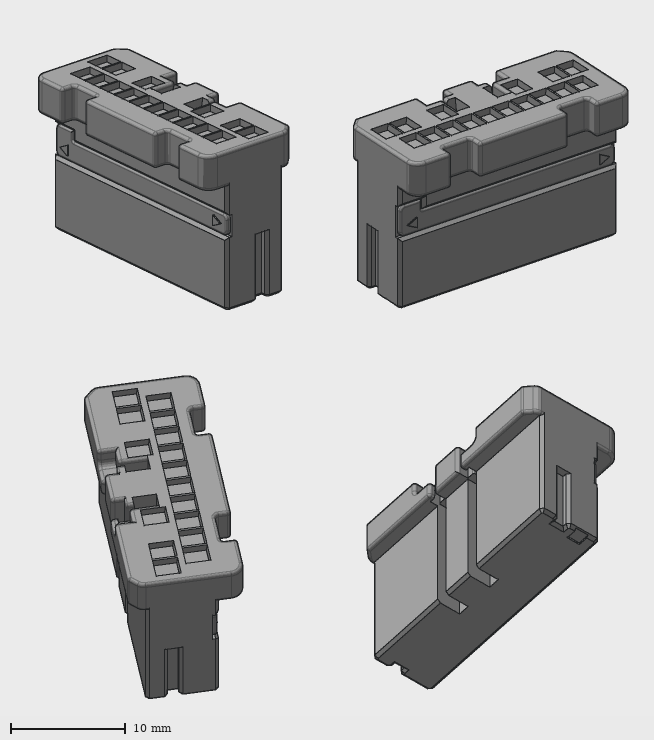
import cadquery as cq


length = 23.6
depth = 10.2
height = 15.3
edge = 0.3
overlap = 0.24
tolerance = 0.02

body_front = 2.3
body_back = 8.78

flange_bottom = 11.9
flange_front_radius = 1.2
flange_back_chamfer = 1.0
flange_back_blend = 1.0
notch_width = 3.02
notch_depth = 1.42
notch_offset = 6.3

slot_half_width = 2.7
flange_slot_start = 6.02
body_slot_start = 6.32
step_half_width = 4.2
step_start = 8.61
step_depth = 1.7
step_floor = height - step_depth
step_root_radius = 0.6
hook_half_gap = 2.1
hook_thickness = 0.61

arm_half_width = 1.5
head_half_width = 1.6
head_back = 10.03
wing_half_width = 2.4
wing_back = 8.85
wing_front_top = 8.17
wing_front_bottom = 7.65
wing_edge = 0.15

window_width = 1.82
window_length = 2.22
window_depth = 0.6
window_taper = 9.0
front_row_y = 3.8
back_row_y = 6.6
front_row_count = 10
front_row_span = 18.0
pitch = front_row_span / (front_row_count - 1)
back_row_steps = (-5, -4, -2, 2, 4, 5)

recess_depth = 0.6
recess_bottom = 7.0
recess_top = 9.1
recess_tab_top = 10.12
recess_tab_width = 2.62
recess_tab_right = recess_tab_width - length / 2
bar_end_gap = 0.21
bar_tab_gap = 0.15
bar_side_gap = 0.05
bar_front_inset = 0.15
bar_corner_radius = 0.5
bar_inner_radius = 0.2
bar_edge_radius = 0.2
arrow_size = 1.01
arrow_tip_x = 10.88
arrow_z = 8.07

groove_front = 5.5
groove_back = 7.13
groove_top = 6.5
groove_depth = 0.7
pocket_front = 3.5
pocket_size = 1.35
pocket_depth = 0.2


def box(x0, x1, y0, y1, z0, z1):
    return cq.Workplane("XY").box(x1 - x0, y1 - y0, z1 - z0, centered=False).translate((x0, y0, z0))


def near(value, target):
    return abs(value - target) < tolerance


def front_prism(outline, y0, y1):
    """Prism with an XZ outline, running from y0 back to y1."""
    return cq.Workplane("XZ", origin=(0, y0, 0)).polyline(outline).close().extrude(y0 - y1)


def recess_outline(end_x, bottom, top, tab_right, tab_top):
    """L-shaped strip: full length, with a taller tab at its left end."""
    return [
        (-end_x, bottom),
        (end_x, bottom),
        (end_x, top),
        (tab_right, top),
        (tab_right, tab_top),
        (-end_x, tab_top),
    ]


def make_body():
    half = length / 2
    top = flange_bottom + edge
    body = box(-half, half, body_front, body_back, 0, top)
    body = body.edges("|Z").chamfer(edge)
    for side in (-1, 1):
        groove = (
            cq.Workplane("XY")
            .polyline([
                (side * half, groove_front),
                (side * (half - edge), groove_front + edge),
                (side * (half - groove_depth), groove_front + edge),
                (side * (half - groove_depth), groove_back - edge),
                (side * (half - edge), groove_back - edge),
                (side * half, groove_back),
            ])
            .close()
            .extrude(groove_top)
        )
        body = body.cut(groove)
    body = body.faces("<Z").edges().chamfer(edge)
    pocket = box(-half, pocket_size - half, pocket_front, pocket_front + pocket_size, 0, pocket_depth)
    return body.cut(pocket)


def cut_recess(body):
    outline = recess_outline(
        length / 2 + overlap, recess_bottom, recess_top, recess_tab_right, recess_tab_top
    )
    floor = body_front + recess_depth
    recess = front_prism(outline, body_front, floor)
    bevel = (
        front_prism(
            recess_outline(
                length / 2 + overlap + edge,
                recess_bottom - edge,
                recess_top + edge,
                recess_tab_right + edge,
                recess_tab_top + edge,
            ),
            body_front - overlap,
            body_front + edge,
        )
        .faces(">Y")
        .edges()
        .chamfer(edge)
    )
    return body.cut(recess).cut(bevel)


def make_bar():
    bar_front = body_front + bar_front_inset
    end_x = length / 2 - bar_end_gap
    bar = front_prism(
        recess_outline(
            end_x,
            recess_bottom + bar_side_gap,
            recess_top - bar_side_gap,
            recess_tab_right - bar_tab_gap,
            recess_tab_top - bar_side_gap,
        ),
        bar_front,
        body_front + recess_depth,
    )
    inner_corner = cq.selectors.NearestToPointSelector(
        (recess_tab_right - bar_tab_gap, body_front + recess_depth / 2, recess_top - bar_side_gap)
    )
    bar = bar.edges("|Y").edges("<X or >X").fillet(bar_corner_radius)
    bar = bar.edges("|Y").edges(inner_corner).fillet(bar_inner_radius)
    bar = bar.faces("<Y").edges().fillet(bar_edge_radius)
    for side in (-1, 1):
        base_x = arrow_tip_x - arrow_size
        arrow = [
            (side * arrow_tip_x, arrow_z),
            (side * base_x, arrow_z + arrow_size / 2),
            (side * base_x, arrow_z - arrow_size / 2),
        ]
        bar = bar.union(front_prism(arrow, body_front, bar_front + overlap))
    return bar


def make_flange():
    return round_flange(cut_latch_opening(make_flange_plate()))


def make_flange_plate():
    """Flange with its four corners shaped and two notches in the front."""
    half = length / 2
    flange = box(-half, half, 0, depth, flange_bottom, height)
    flange = flange.edges("|Z and <Y").fillet(flange_front_radius)
    flange = flange.edges("|Z and >Y").chamfer(flange_back_chamfer)
    flange = flange.edges("|Z").edges("<X or >X").edges(">Y").fillet(flange_back_blend)

    for side in (-1, 1):
        x = side * notch_offset
        notch = box(
            x - notch_width / 2, x + notch_width / 2, -overlap, notch_depth, flange_bottom, height
        )
        flange = flange.cut(notch.edges("|Z and >Y").fillet(edge))

    mouth_x = (notch_offset - notch_width / 2, notch_offset + notch_width / 2)
    flange_middle = (height + flange_bottom) / 2
    for x in mouth_x:
        for side in (-1, 1):
            corner = cq.selectors.NearestToPointSelector((side * x, 0, flange_middle))
            flange = flange.edges("|Z").edges(corner).fillet(edge)
    return flange


def cut_latch_opening(flange):
    """Slot through the flange, closed in by two hooks, with a step around it."""
    slot = box(
        -slot_half_width, slot_half_width,
        flange_slot_start, depth - hook_thickness,
        flange_bottom, height,
    )
    gap = box(-hook_half_gap, hook_half_gap, flange_slot_start, depth, flange_bottom, height)
    step = box(
        -step_half_width, step_half_width, step_start, depth, step_floor, height + overlap
    )
    step = step.edges("|Y and <Z").fillet(step_root_radius)
    flange = flange.cut(slot).cut(gap).cut(step)
    opening_corners = [
        e for e in flange.edges("|Z").vals()
        if is_hook_tip(e.Center()) or is_step_corner(e.Center())
    ]
    return flange.newObject(opening_corners).fillet(edge)


def is_hook_tip(point):
    return near(abs(point.x), hook_half_gap) and near(point.y, depth)


def in_latch_slot(point):
    return abs(point.x) < slot_half_width + tolerance and point.y > flange_slot_start - tolerance


def is_step_corner(point):
    return near(abs(point.x), slot_half_width) and near(point.y, step_start)


def round_flange(flange):
    """Round the rims of the flange, leaving the latch slot sharp at its root and underside."""
    top_rim = [
        e for e in flange.faces(">Z").edges().vals()
        if not near(e.Center().y, flange_slot_start)
    ]
    bottom_rim = [
        e for e in flange.faces("<Z").edges().vals()
        if not in_latch_slot(e.Center())
    ]
    step_rim = [
        e for e in flange.faces(">Y").edges().vals()
        if step_floor - tolerance < e.Center().z < height - tolerance
    ]
    hook_tips = [
        e for e in flange.edges("|Y").vals()
        if near(abs(e.Center().x), hook_half_gap) and near(e.Center().z, step_floor)
    ]
    return flange.newObject(top_rim + bottom_rim + step_rim + hook_tips).fillet(edge)


def make_latch():
    arm = box(-arm_half_width, arm_half_width, flange_slot_start, body_back, 0, height)
    arm = arm.faces("<Z").edges(">Y").chamfer(edge)
    head = box(
        -head_half_width, head_half_width, wing_back - overlap, head_back, flange_bottom, height
    )
    head = head.edges("|Y and >Z").fillet(edge)
    head = head.faces(">Y").edges().fillet(edge)
    wing_profile = [
        (wing_front_bottom, flange_bottom),
        (wing_back, flange_bottom),
        (wing_back, height),
        (wing_front_top, height),
    ]
    wings = (
        cq.Workplane("YZ", origin=(-wing_half_width, 0, 0))
        .polyline(wing_profile)
        .close()
        .extrude(2 * wing_half_width)
    )
    wings = wings.faces(">Z").edges("<X or >X").fillet(edge)
    wings = wings.faces(">Z").edges(">Y").fillet(wing_edge)
    return arm.union(wings).union(head)


def make_windows():
    front_row = [
        (i * pitch - front_row_span / 2, front_row_y)
        for i in range(front_row_count)
    ]
    back_row = [(i * pitch, back_row_y) for i in back_row_steps]
    return (
        cq.Workplane("XY", origin=(0, 0, height))
        .pushPoints(front_row + back_row)
        .rect(window_width, window_length)
        .extrude(-window_depth, taper=window_taper)
    )


body_slot = box(
    -slot_half_width, slot_half_width, body_slot_start, depth, 0, flange_bottom + edge
)
result = (
    cut_recess(make_body())
    .cut(body_slot)
    .union(make_flange())
    .union(make_bar())
    .union(make_latch())
    .cut(make_windows())
)